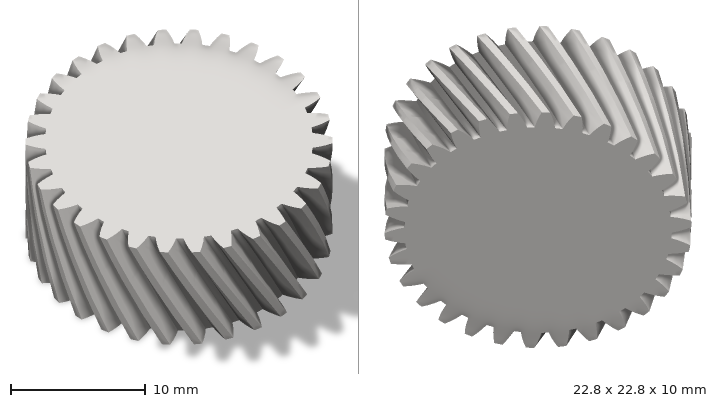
import cadquery as cq
import math

outer_diameter = 22.82
face_width = 10.0
tooth_count = 30
helix_angle = math.radians(25)
addendum_factor = 1.0
dedendum_factor = 1.25

normal_module = outer_diameter / (tooth_count / math.cos(helix_angle) + 2 * addendum_factor)
tip_radius = outer_diameter / 2
pitch_radius = tip_radius - addendum_factor * normal_module
root_radius = pitch_radius - dedendum_factor * normal_module
tooth_pitch = 2 * math.pi / tooth_count
twist = math.degrees(face_width * math.tan(helix_angle) / pitch_radius)

half_tooth_at_root = math.radians(4.4)
half_tooth_at_pitch = tooth_pitch / 4
half_tooth_at_tip = math.radians(1.55)


def polar(radius, angle):
    return (radius * math.cos(angle), radius * math.sin(angle))


def add_tooth(outline, centre):
    """Add one tooth and the root arc after it, counter-clockwise, starting at the tooth's root."""
    outline = outline.threePointArc(
        polar(pitch_radius, centre - half_tooth_at_pitch),
        polar(tip_radius, centre - half_tooth_at_tip),
    )
    outline = outline.threePointArc(
        polar(tip_radius, centre),
        polar(tip_radius, centre + half_tooth_at_tip),
    )
    outline = outline.threePointArc(
        polar(pitch_radius, centre + half_tooth_at_pitch),
        polar(root_radius, centre + half_tooth_at_root),
    )
    return outline.threePointArc(
        polar(root_radius, centre + tooth_pitch / 2),
        polar(root_radius, centre + tooth_pitch - half_tooth_at_root),
    )


first_tooth = tooth_pitch / 2
outline = cq.Workplane("XY").moveTo(*polar(root_radius, first_tooth - half_tooth_at_root))
for tooth in range(tooth_count):
    outline = add_tooth(outline, first_tooth + tooth * tooth_pitch)

result = outline.close().twistExtrude(face_width, -twist)